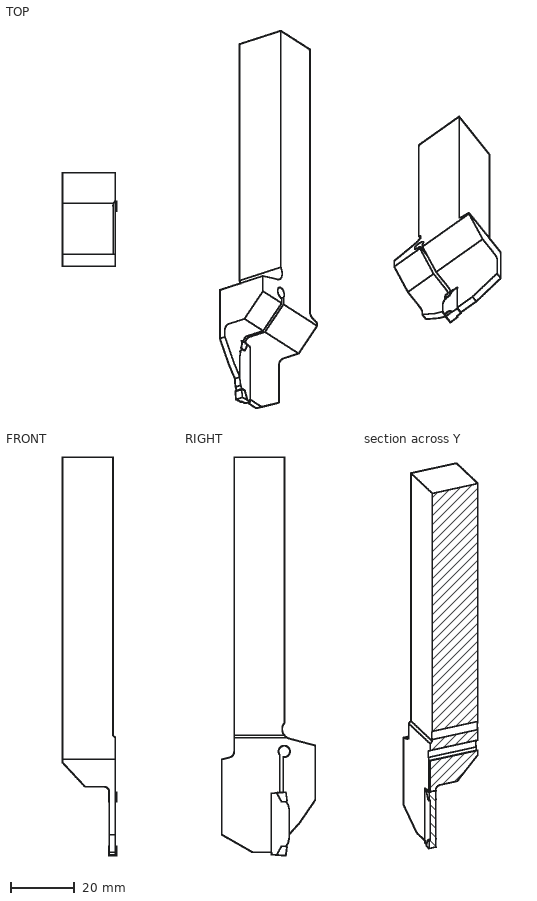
import cadquery as cq
import math

SHANK_WIDTH = 15.9
TOTAL_HEIGHT = 125.0
SHANK_FRONT_Y = 3.9
SHANK_BACK_Y = SHANK_FRONT_Y + SHANK_WIDTH

HEAD_LENGTH = 29.4
SHOULDER_ANGLE = math.radians(15)
SHOULDER_SLOPE = math.tan(SHOULDER_ANGLE)
FRONT_SHOULDER_Z = 30.2
FRONT_FILLET = 1.8
BACK_SHOULDER_Z = 34.6
BACK_FILLET = 3.0
BACK_FILLET_DEPTH = 0.8
HEAD_RIGHT_X = 16.6
STEP_Z = 37.8
LEDGE_Z = 21.6
SLOPE_START_Z = 29.2
SLOPE_RUN = 7.1
LEDGE_FILLET = 1.5

BLADE_THICKNESS = 2.0
BLADE_LEFT_X = HEAD_RIGHT_X - BLADE_THICKNESS
BLADE_BOTTOM_Z = 1.1
BLADE_FRONT_Z = 6.6
BLADE_BEVEL_Y = 9.6
JAW_BACK_Z = 17.5
JAW_BEND_Y = 24.5
JAW_BEND_Z = 10.4
JAW_TIP_Z = 6.8

SLIT_WIDTH = 1.0
SLIT_FRONT_Y = 18.2
RELIEF_RADIUS = 1.8
RELIEF_Y = 19.6
RELIEF_Z = 32.8

INSERT_LENGTH = 20.0
SEAT_Y = 15.6
INSERT_BACK_Y = 21.2
EDGE_Y = 20.1
EDGE_OVERHANG_LEFT = 0.1
EDGE_OVERHANG_RIGHT = 0.4
END_RELIEF = 0.4
RAKE_END_Y = 20.5
RAKE_END_Z = 2.6
GROOVE_Y = 20.2
GROOVE_Z = 3.0
GROOVE_RISE_Y = 20.9
GROOVE_RISE_Z = 4.0
BACK_START_Z = 5.8
HEAD_FRONT_Y = 17.2
HEAD_WAIST_Y = 18.8
INSERT_MID_Z = INSERT_LENGTH / 2
HEAD_FRONT_Z = END_RELIEF * (EDGE_Y - HEAD_FRONT_Y) / (EDGE_Y - SEAT_Y)


def extrude_x(outline, left_x, right_x):
    """Extrude an outline drawn in Y and Z from left_x to right_x."""
    return outline.extrude(right_x - left_x).translate((left_x, 0, 0))


def make_side_block():
    """Shank, head and blade outline in Y and Z, over the full width."""
    front_center_y = SHANK_FRONT_Y - FRONT_FILLET
    front_foot_y = front_center_y + FRONT_FILLET * math.sin(SHOULDER_ANGLE)
    front_foot_z = FRONT_SHOULDER_Z + front_foot_y * SHOULDER_SLOPE
    front_center_z = front_foot_z + FRONT_FILLET * math.cos(SHOULDER_ANGLE)
    front_mid = (SHOULDER_ANGLE - math.pi / 2) / 2

    back_center_y = SHANK_BACK_Y - BACK_FILLET_DEPTH + BACK_FILLET
    back_foot_y = back_center_y - BACK_FILLET * math.sin(SHOULDER_ANGLE)
    back_foot_z = BACK_SHOULDER_Z + (HEAD_LENGTH - back_foot_y) * SHOULDER_SLOPE
    back_center_z = back_foot_z + BACK_FILLET * math.cos(SHOULDER_ANGLE)
    back_rise = math.sqrt(BACK_FILLET**2 - (BACK_FILLET - BACK_FILLET_DEPTH)**2)

    outline = (
        cq.Workplane("YZ")
        .moveTo(SHANK_FRONT_Y, TOTAL_HEIGHT)
        .lineTo(SHANK_FRONT_Y, front_center_z)
        .threePointArc(
            (front_center_y + FRONT_FILLET * math.cos(front_mid),
             front_center_z + FRONT_FILLET * math.sin(front_mid)),
            (front_foot_y, front_foot_z))
        .lineTo(0, FRONT_SHOULDER_Z)
        .lineTo(0, BLADE_FRONT_Z)
        .lineTo(BLADE_BEVEL_Y, BLADE_BOTTOM_Z)
        .lineTo(SEAT_Y, BLADE_BOTTOM_Z)
        .lineTo(SEAT_Y, JAW_TIP_Z)
        .lineTo(INSERT_BACK_Y, JAW_TIP_Z)
        .lineTo(JAW_BEND_Y, JAW_BEND_Z)
        .lineTo(HEAD_LENGTH, JAW_BACK_Z)
        .lineTo(HEAD_LENGTH, BACK_SHOULDER_Z)
        .lineTo(back_foot_y, back_foot_z)
        .threePointArc(
            (back_center_y - BACK_FILLET, back_center_z),
            (SHANK_BACK_Y, back_center_z + back_rise))
        .lineTo(SHANK_BACK_Y, TOTAL_HEIGHT)
        .close()
    )
    return extrude_x(outline, 0, HEAD_RIGHT_X)


def make_front_block():
    """Outline in X and Z: stepped shank, sloped head and thin blade."""
    step = HEAD_RIGHT_X - SHANK_WIDTH
    outline = (
        cq.Workplane("XZ")
        .moveTo(0, TOTAL_HEIGHT)
        .lineTo(0, SLOPE_START_Z)
        .lineTo(SLOPE_RUN, LEDGE_Z)
        .lineTo(BLADE_LEFT_X - LEDGE_FILLET, LEDGE_Z)
        .radiusArc((BLADE_LEFT_X, LEDGE_Z - LEDGE_FILLET), LEDGE_FILLET)
        .lineTo(BLADE_LEFT_X, 0)
        .lineTo(HEAD_RIGHT_X, 0)
        .lineTo(HEAD_RIGHT_X, STEP_Z - step)
        .lineTo(SHANK_WIDTH, STEP_Z)
        .lineTo(SHANK_WIDTH, TOTAL_HEIGHT)
        .close()
    )
    return outline.extrude(-HEAD_LENGTH)


def make_slit():
    """Slit from the insert up to a round relief hole, cut through in X."""
    slot = (
        cq.Workplane("YZ")
        .moveTo(SLIT_FRONT_Y, INSERT_MID_Z)
        .lineTo(SLIT_FRONT_Y + SLIT_WIDTH, INSERT_MID_Z)
        .lineTo(SLIT_FRONT_Y + SLIT_WIDTH, RELIEF_Z)
        .lineTo(SLIT_FRONT_Y, RELIEF_Z)
        .close()
    )
    hole = cq.Workplane("YZ").center(RELIEF_Y, RELIEF_Z).circle(RELIEF_RADIUS)
    return extrude_x(slot, 0, HEAD_RIGHT_X).union(extrude_x(hole, 0, HEAD_RIGHT_X))


def make_insert_body():
    """Middle of the insert, flush with the blade, with a chip groove near each cutting edge."""
    lower_back = [
        (EDGE_Y, 0),
        (RAKE_END_Y, RAKE_END_Z),
        (GROOVE_Y, GROOVE_Z),
        (GROOVE_RISE_Y, GROOVE_RISE_Z),
        (INSERT_BACK_Y, BACK_START_Z),
    ]
    upper_back = [(y, INSERT_LENGTH - z) for y, z in reversed(lower_back)]
    seat = [(SEAT_Y, INSERT_LENGTH - END_RELIEF), (SEAT_Y, END_RELIEF)]
    outline = cq.Workplane("YZ").polyline(lower_back + upper_back + seat).close()
    return extrude_x(outline, BLADE_LEFT_X, HEAD_RIGHT_X)


def make_cutting_head():
    """Lower cutting head, wider than the blade so that the cut clears it."""
    outline = (
        cq.Workplane("YZ")
        .moveTo(EDGE_Y, 0)
        .lineTo(HEAD_FRONT_Y, HEAD_FRONT_Z)
        .lineTo(HEAD_WAIST_Y, GROOVE_Z)
        .lineTo(GROOVE_Y, GROOVE_Z)
        .lineTo(RAKE_END_Y, RAKE_END_Z)
        .close()
    )
    return extrude_x(outline, BLADE_LEFT_X - EDGE_OVERHANG_LEFT, HEAD_RIGHT_X + EDGE_OVERHANG_RIGHT)


def make_insert():
    """One solid insert with a cutting head at each end."""
    lower_head = make_cutting_head()
    upper_head = lower_head.mirror("XY", (0, 0, INSERT_MID_Z))
    return make_insert_body().union(lower_head).union(upper_head)


def make_holder(insert):
    """Shank, head and blade in one piece, with the slit and the insert's pocket removed."""
    block = make_side_block().intersect(make_front_block())
    return block.cut(make_slit()).cut(insert)


insert = make_insert()
holder = make_holder(insert)
result = cq.Compound.makeCompound([holder.val(), insert.val()])